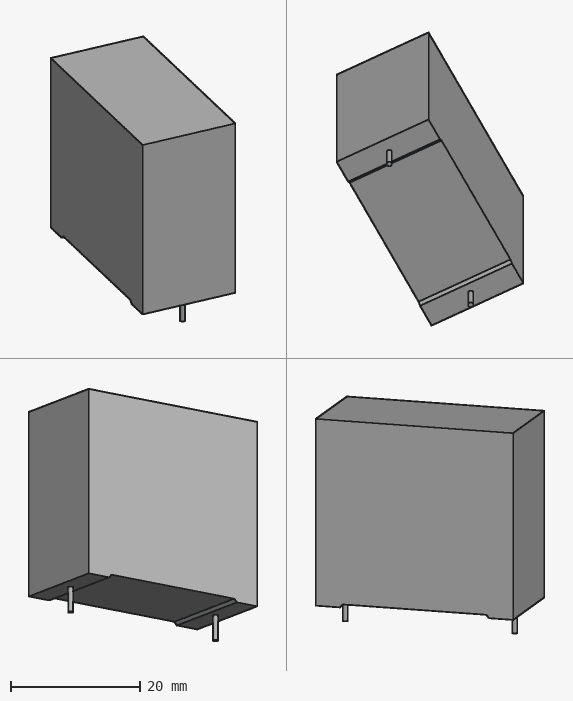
import cadquery as cq

LENGTH = 32.0
WIDTH = 16.0
TOTAL_HEIGHT = 33.7
PIN_PROJECTION = 4.0
HOUSING_HEIGHT = TOTAL_HEIGHT - PIN_PROJECTION

CHANNEL_DEPTH = 0.5
CHANNEL_MOUTH = 24.25
CHANNEL_ROOF = CHANNEL_MOUTH - 2 * CHANNEL_DEPTH

PIN_DIAMETER = 0.8
PIN_SPACING = 27.5
BRIDGE_Z = CHANNEL_DEPTH + 2 * PIN_DIAMETER


def make_lead():
    """One bent wire: two vertical pins and the bridge that joins their upper ends."""
    radius = PIN_DIAMETER / 2
    lead = (
        cq.Workplane("YZ", origin=(-PIN_SPACING / 2, 0, BRIDGE_Z))
        .circle(radius)
        .extrude(PIN_SPACING)
    )
    for pin_x in (-PIN_SPACING / 2, PIN_SPACING / 2):
        pin = (
            cq.Workplane("XY", origin=(pin_x, 0, -PIN_PROJECTION))
            .circle(radius)
            .extrude(PIN_PROJECTION + BRIDGE_Z)
        )
        bend = cq.Workplane("XY", origin=(pin_x, 0, BRIDGE_Z)).sphere(radius)
        lead = lead.union(pin).union(bend)
    return lead.solids()


def make_housing(lead):
    """Rectangular block with the channel under it and a matching passage for the lead."""
    block = cq.Workplane("XY").box(LENGTH, WIDTH, HOUSING_HEIGHT, centered=(True, True, False))
    channel = (
        cq.Workplane("XZ")
        .polyline([
            (-CHANNEL_MOUTH / 2, 0),
            (-CHANNEL_ROOF / 2, CHANNEL_DEPTH),
            (CHANNEL_ROOF / 2, CHANNEL_DEPTH),
            (CHANNEL_MOUTH / 2, 0),
        ])
        .close()
        .extrude(WIDTH / 2, both=True)
    )
    return block.cut(channel).cut(lead).solids()


lead = make_lead()
housing = make_housing(lead)

result = cq.Compound.makeCompound([housing.val(), lead.val()])